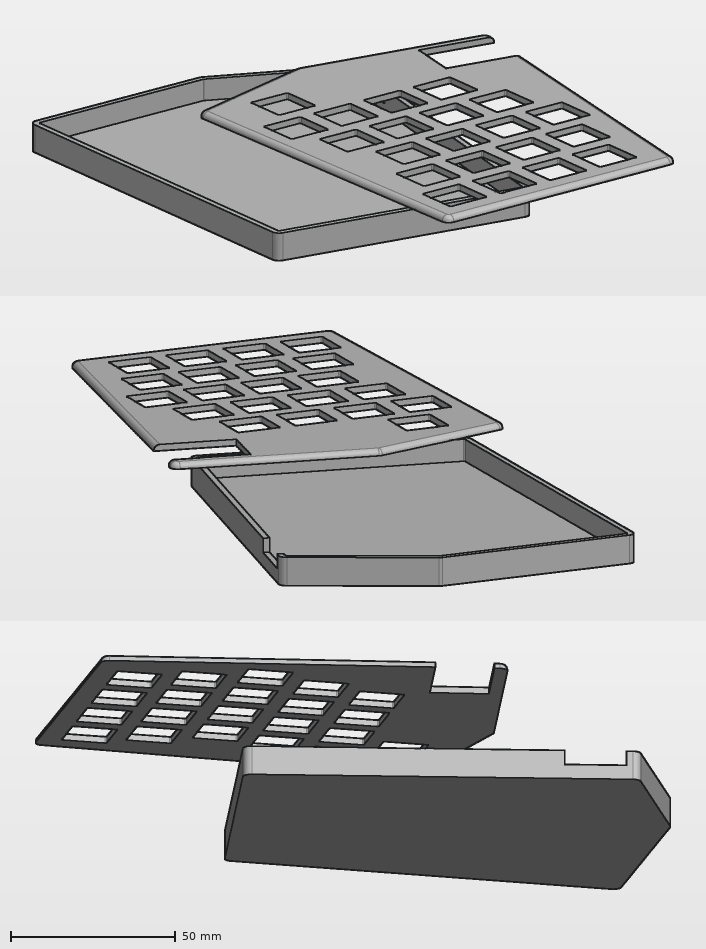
import cadquery as cq
import math

outline_width = 123.7
right_side_rise = 86.2
lean_angle = 10.0
peak_x, peak_y = 20.6, 109.8
left_side_height = 65.5

right_corner_x = outline_width + right_side_rise * math.tan(math.radians(lean_angle))
outline = [
    (0, 0),
    (outline_width, 0),
    (right_corner_x, right_side_rise),
    (peak_x, peak_y),
    (0, left_side_height),
]

small_radius = 1.0 / 2

tray_height = 9.0
wall_thickness = 2.0
inner_corner_radius = small_radius
outer_corner_radius = inner_corner_radius + wall_thickness
floor_thickness = 2.0

notch_start = 4.0
notch_length = 18.7
notch_depth = 4.5

plate_thickness = 2.0
plate_top = 29.2
plate_edge_radius = 1.9
plate_corner_x, plate_corner_y = 187.4, 104.0

slot_start = 4.1
slot_width = 18.0
slot_length = 25.9

key_size = 14.0
key_corner_radius = small_radius
key_pitch = 19.1
first_key_x = 77.8
key_columns = [
    (37.7, 1),
    (28.0, 4),
    (34.7, 4),
    (41.5, 4),
    (34.7, 4),
    (30.2, 4),
]


def outline_prism(height, corner_radius, inset=0.0):
    """Outline, drawn in by the inset, extruded upward with its upright corners rounded."""
    prism = cq.Workplane("XY").polyline(outline).close().offset2D(-inset).extrude(height)
    return prism.edges("|Z").fillet(corner_radius)


def make_tray():
    """Open tray with a cable notch in its upper wall."""
    tray = outline_prism(tray_height, outer_corner_radius)
    cavity = outline_prism(tray_height, inner_corner_radius, wall_thickness)
    cavity = cavity.translate((0, 0, floor_thickness))
    wall_angle = math.degrees(math.atan2(right_side_rise - peak_y, right_corner_x - peak_x))
    notch = (
        cq.Workplane("XY")
        .box(notch_length, 4 * wall_thickness, 2 * notch_depth)
        .translate((notch_start + notch_length / 2, 0, tray_height))
        .rotate((0, 0, 0), (0, 0, 1), wall_angle)
        .translate((peak_x, peak_y, 0))
    )
    return tray.cut(cavity).cut(notch)


def make_plate():
    """Key plate with a rounded rim, an open slot and the key openings."""
    slot = cq.Workplane("XY").rect(slot_width, 2 * slot_length).extrude(plate_thickness)
    slot = slot.translate((slot_start + slot_width / 2, 0, 0))
    plate = outline_prism(plate_thickness, outer_corner_radius)
    plate = plate.faces(">Z").edges().fillet(plate_edge_radius).cut(slot)
    plate = (
        plate.mirror("XZ")
        .translate((-outline_width, 0, 0))
        .rotate((0, 0, 0), (0, 0, 1), -lean_angle)
        .translate((plate_corner_x, plate_corner_y, plate_top - plate_thickness))
    )
    return plate.cut(key_openings())


def key_openings():
    """Square cutters for all keys, in staggered columns."""
    centres = [
        (first_key_x + column * key_pitch, lowest_y + row * key_pitch)
        for column, (lowest_y, count) in enumerate(key_columns)
        for row in range(count)
    ]
    return (
        cq.Workplane("XY")
        .workplane(offset=plate_top - plate_thickness)
        .pushPoints(centres)
        .rect(key_size, key_size)
        .extrude(plate_thickness)
        .edges("|Z")
        .fillet(key_corner_radius)
    )


tray = make_tray()
plate = make_plate()

result = cq.Compound.makeCompound([tray.val(), plate.val()])